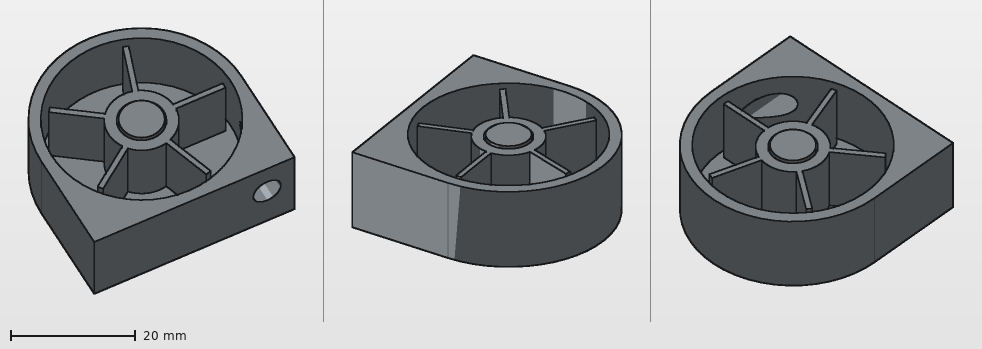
import cadquery as cq

HOUSING_WIDTH = 36.4
HOUSING_HEIGHT = 14.0
CHAMBER_DIAMETER = 32.4
FLOOR_THICKNESS = 2.0
POST_DIAMETER = 7.4

OUTLET_DIAMETER = 5.0
OUTLET_WALL_GAP = 0.5
OUTLET_Y = (CHAMBER_DIAMETER - OUTLET_DIAMETER) / 2 - OUTLET_WALL_GAP
OUTLET_Z = (FLOOR_THICKNESS + HOUSING_HEIGHT) / 2

HUB_DIAMETER = 12.0
HUB_BORE_DIAMETER = 8.0
BLADE_COUNT = 5
BLADE_TIP_RADIUS = 15.0
BLADE_THICKNESS = 1.0
FIRST_BLADE_ANGLE = 90.0
IMPELLER_TOP_DROP = 0.35
IMPELLER_HEIGHT = HOUSING_HEIGHT - FLOOR_THICKNESS - IMPELLER_TOP_DROP


def make_housing():
    half_width = HOUSING_WIDTH / 2
    block = (
        cq.Workplane("XY")
        .moveTo(0, -half_width)
        .lineTo(half_width, -half_width)
        .lineTo(half_width, half_width)
        .lineTo(0, half_width)
        .threePointArc((-half_width, 0), (0, -half_width))
        .close()
        .extrude(HOUSING_HEIGHT)
    )
    chamber_depth = HOUSING_HEIGHT - FLOOR_THICKNESS
    floor = cq.Workplane("XY").workplane(offset=FLOOR_THICKNESS)
    chamber = floor.circle(CHAMBER_DIAMETER / 2).extrude(chamber_depth)
    post = floor.circle(POST_DIAMETER / 2).extrude(chamber_depth)
    outlet = (
        cq.Workplane("YZ")
        .center(OUTLET_Y, OUTLET_Z)
        .circle(OUTLET_DIAMETER / 2)
        .extrude(half_width)
    )
    return block.cut(chamber).cut(outlet).union(post)


def make_blade(angle):
    return (
        cq.Workplane("XY")
        .workplane(offset=FLOOR_THICKNESS)
        .center(BLADE_TIP_RADIUS / 2, 0)
        .rect(BLADE_TIP_RADIUS, BLADE_THICKNESS)
        .extrude(IMPELLER_HEIGHT)
        .rotate((0, 0, 0), (0, 0, 1), angle)
    )


def make_impeller():
    floor = cq.Workplane("XY").workplane(offset=FLOOR_THICKNESS)
    impeller = floor.circle(HUB_DIAMETER / 2).extrude(IMPELLER_HEIGHT)
    for index in range(BLADE_COUNT):
        impeller = impeller.union(make_blade(FIRST_BLADE_ANGLE + index * 360 / BLADE_COUNT))
    bore = floor.circle(HUB_BORE_DIAMETER / 2).extrude(IMPELLER_HEIGHT)
    return impeller.cut(bore)


housing = make_housing()
impeller = make_impeller()
result = cq.Compound.makeCompound([housing.val(), impeller.val()])